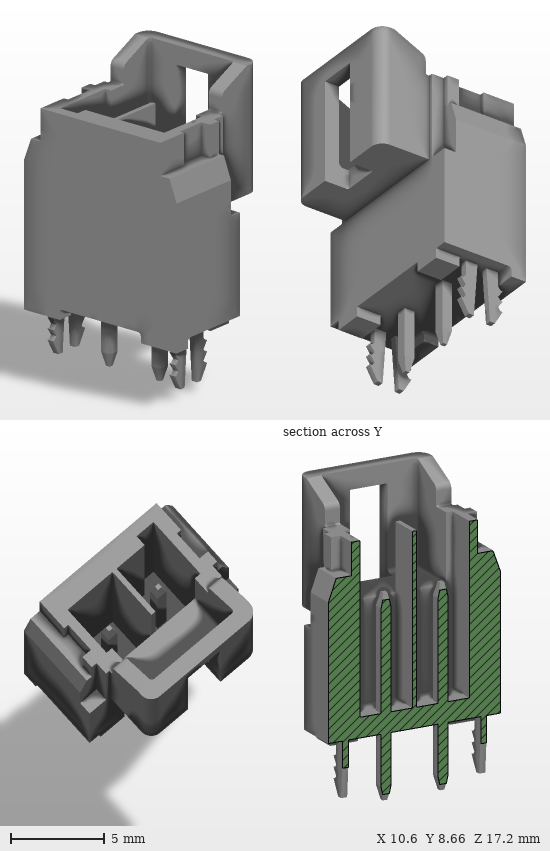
import cadquery as cq

OVERALL_WIDTH = 10.6
OVERALL_DEPTH = 8.66
OVERALL_HEIGHT = 17.15
PIN_REACH = 3.2
TOP_Z = OVERALL_HEIGHT - PIN_REACH

HALF_WIDTH = OVERALL_WIDTH / 2
BODY_DEPTH = 5.37
BASE_Z = 0.6
TOWER_Z = 11.82
SHOULDER_Z = 9.91
SHOULDER_HALF_WIDTH = 4.82
SLOPE_START_Z = 8.61

TOWER_FRONT_HALF = 4.17
TOWER_WAIST_HALF = 3.88
TOWER_RIB_HALF = 4.48
WAIST_START_Y = 1.99
WAIST_END_Y = 3.85
NOTCH_FRONT_Y = 4.6
NOTCH_HALF = 4.13

GUARD_BOTTOM_Z = 6.53
GUARD_HALF = TOWER_WAIST_HALF
GUARD_CORNER_RADIUS = 0.72
GUARD_BACK_WALL = 0.93
GUARD_INNER_HALF = 2.95
GUARD_INNER_RADIUS = 0.19
GUARD_FLOOR_Z = 7.75
GUARD_FRONT_Y = 5.59
CHEEK_SLOPE_START_Y = 7.67
CHEEK_CORNER_Z = 12.97
CHEEK_CORNER_RADIUS = 0.43
CHEEK_ROOT_RADIUS = 0.1
FLOOR_SIDE_RADIUS = 0.19
FLOOR_BACK_RADIUS = 0.3
WINDOW_HALF = 1.15
WINDOW_TOP_Z = 12.81
WINDOW_FRONT_Y = 7.13
WINDOW_CORNER_RADIUS = 0.1

POCKET_HALF_SPAN = 3.35
POCKET_FRONT_Y = 1.34
POCKET_BACK_Y = 4.51
POCKET_FLOOR_Z = 1.8
DIVIDER_HALF = 0.145
KEY_SLOT_FRONT_Y = 0.69
KEY_SLOT_WIDTH = 1.2

FOOT_INNER_X = 2.81
FRONT_FOOT_DEPTH = 0.96
REAR_FOOT_FRONT_Y = 3.82
REAR_FOOT_OUTER_X = 4.53
FRONT_FOOT_ROOT_RADIUS = 0.2
REAR_FOOT_ROOT_RADIUS = 0.1

PIN_PITCH = 3.5
PIN_Y = 2.9
PIN_SIZE = 0.63
PIN_TIP_SIZE = 0.25
PIN_TIP_LENGTH = 0.82
PIN_TOP_Z = 8.58

CLIP_X = 4.24
CLIP_THICKNESS = 0.38
CLIP_Y = 2.28
PRONG_INNER_TOP = 0.3
PRONG_INNER_END = 0.53
PRONG_OUTER = 1.06
PRONG_OUTER_END = 0.85
BARB_REACH = 1.37
BARB_COUNT = 3
BARB_PITCH = 0.65
BARB_RISE = 0.2
BARB_FLAT_START = 1.22
FIRST_BARB_Z = -0.48
PRONG_END_Z = -2.68


def box(x0, x1, y0, y1, z0, z1):
    """Axis-aligned block between two opposite corners."""
    return cq.Workplane("XY").box(x1 - x0, y1 - y0, z1 - z0, centered=False).translate((x0, y0, z0))


def both_sides(shape):
    """The shape together with its mirror image across x = 0."""
    return shape.union(shape.mirror("YZ"))


def extrude_front_outline(points, depth):
    """Closed XZ outline extruded from the front face backwards."""
    return cq.Workplane("XZ").polyline(points).close().extrude(-depth)


def housing():
    right_edge = [
        (HALF_WIDTH, BASE_Z),
        (HALF_WIDTH, SLOPE_START_Z),
        (SHOULDER_HALF_WIDTH, SHOULDER_Z),
    ]
    left_edge = [(-x, z) for x, z in reversed(right_edge)]
    body = extrude_front_outline(right_edge + left_edge, BODY_DEPTH)
    tower_bands = [
        (TOWER_FRONT_HALF, 0, WAIST_START_Y),
        (TOWER_WAIST_HALF, WAIST_START_Y, WAIST_END_Y),
        (TOWER_RIB_HALF, WAIST_END_Y, NOTCH_FRONT_Y),
        (NOTCH_HALF, NOTCH_FRONT_Y, BODY_DEPTH),
    ]
    for half, y0, y1 in tower_bands:
        body = body.union(box(-half, half, y0, y1, BASE_Z, TOWER_Z))
    corner_notch = box(NOTCH_HALF, HALF_WIDTH, NOTCH_FRONT_Y, BODY_DEPTH, GUARD_BOTTOM_Z, TOWER_Z)
    return body.cut(both_sides(corner_notch))


def feet():
    front = box(FOOT_INNER_X, HALF_WIDTH, 0, FRONT_FOOT_DEPTH, 0, BASE_Z)
    rear = box(FOOT_INNER_X, REAR_FOOT_OUTER_X, REAR_FOOT_FRONT_Y, BODY_DEPTH, 0, BASE_Z)
    return both_sides(front.union(rear))


def root_fillet(plane, corner_u, radius, direction, length):
    """Concave round under the base, beside a foot wall at corner_u and growing along direction."""
    return (
        cq.Workplane(plane)
        .moveTo(corner_u, BASE_Z)
        .lineTo(corner_u + direction * radius, BASE_Z)
        .radiusArc((corner_u, BASE_Z - radius), -direction * radius)
        .close()
        .extrude(length)
    )


def foot_root_fillets():
    """Concave rounds where the feet meet the underside."""
    front_inner = root_fillet("XZ", FOOT_INNER_X, FRONT_FOOT_ROOT_RADIUS, -1, -FRONT_FOOT_DEPTH)
    front_length = HALF_WIDTH - FOOT_INNER_X
    front_rear = root_fillet("YZ", FRONT_FOOT_DEPTH, FRONT_FOOT_ROOT_RADIUS, 1, front_length)
    rear_length = REAR_FOOT_OUTER_X - FOOT_INNER_X
    rear_front = root_fillet("YZ", REAR_FOOT_FRONT_Y, REAR_FOOT_ROOT_RADIUS, -1, rear_length)
    lengthwise = front_rear.union(rear_front).translate((FOOT_INNER_X, 0, 0))
    return both_sides(front_inner.union(lengthwise))


def guard():
    """Cheeks, floor and back wall behind the tower, before the bay is hollowed out."""
    block = box(-GUARD_HALF, GUARD_HALF, NOTCH_FRONT_Y, OVERALL_DEPTH, GUARD_BOTTOM_Z, TOP_Z)
    block = block.edges("|Z and >Y").fillet(GUARD_CORNER_RADIUS)
    side_profile = (
        cq.Workplane("YZ")
        .polyline([
            (NOTCH_FRONT_Y, GUARD_BOTTOM_Z),
            (NOTCH_FRONT_Y, TOWER_Z),
            (GUARD_FRONT_Y, TOWER_Z),
            (GUARD_FRONT_Y, CHEEK_CORNER_Z),
            (CHEEK_SLOPE_START_Y, TOP_Z),
            (OVERALL_DEPTH, TOP_Z),
            (OVERALL_DEPTH, GUARD_BOTTOM_Z),
        ])
        .close()
        .extrude(GUARD_HALF, both=True)
    )
    reach = CHEEK_ROOT_RADIUS
    root_zone = cq.selectors.BoxSelector(
        (-reach, GUARD_FRONT_Y - reach, TOWER_Z - reach),
        (reach, GUARD_FRONT_Y + reach, TOWER_Z + reach),
    )
    corner_zone = cq.selectors.BoxSelector(
        (-reach, GUARD_FRONT_Y - reach, CHEEK_CORNER_Z - reach),
        (reach, GUARD_FRONT_Y + reach, CHEEK_CORNER_Z + reach),
    )
    side_profile = side_profile.edges(corner_zone).fillet(CHEEK_CORNER_RADIUS)
    side_profile = side_profile.edges(root_zone).fillet(CHEEK_ROOT_RADIUS)
    return block.intersect(side_profile)


def guard_bay():
    """Open space inside the guard, joined to the pockets at its front."""
    bay_back = OVERALL_DEPTH - GUARD_BACK_WALL
    bay = box(-GUARD_INNER_HALF, GUARD_INNER_HALF, POCKET_BACK_Y, bay_back, GUARD_FLOOR_Z, TOP_Z)
    rounded_corners = bay.edges("|Z and >Y").fillet(GUARD_INNER_RADIUS)
    rounded_sides = bay.faces("<Z").edges("|Y").fillet(FLOOR_SIDE_RADIUS)
    rounded_back = bay.faces("<Z").edges(">Y").fillet(FLOOR_BACK_RADIUS)
    return rounded_corners.intersect(rounded_sides).intersect(rounded_back)


def guard_window():
    window = box(-WINDOW_HALF, WINDOW_HALF, WINDOW_FRONT_Y, OVERALL_DEPTH, GUARD_BOTTOM_Z, WINDOW_TOP_Z)
    return window.edges("|Z and <Y").fillet(WINDOW_CORNER_RADIUS)


def pockets():
    pocket = box(DIVIDER_HALF, POCKET_HALF_SPAN, POCKET_FRONT_Y, POCKET_BACK_Y, POCKET_FLOOR_Z, TOWER_Z)
    key_end = KEY_SLOT_WIDTH - POCKET_HALF_SPAN
    key_slot = box(-POCKET_HALF_SPAN, key_end, KEY_SLOT_FRONT_Y, POCKET_FRONT_Y, POCKET_FLOOR_Z, TOWER_Z)
    return both_sides(pocket).union(key_slot)


def pin_tip(base_z, direction):
    """Tapered pin end; direction is +1 for the upper end and -1 for the lower."""
    return (
        cq.Workplane("XY", origin=(0, PIN_Y, base_z))
        .rect(PIN_SIZE, PIN_SIZE)
        .workplane(offset=direction * PIN_TIP_LENGTH)
        .rect(PIN_TIP_SIZE, PIN_TIP_SIZE)
        .loft()
    )


def pins():
    shank_bottom = PIN_TIP_LENGTH - PIN_REACH
    shank_top = PIN_TOP_Z - PIN_TIP_LENGTH
    half = PIN_SIZE / 2
    pin = box(-half, half, PIN_Y - half, PIN_Y + half, shank_bottom, shank_top)
    pin = pin.union(pin_tip(shank_bottom, -1)).union(pin_tip(shank_top, 1))
    return both_sides(pin.translate((PIN_PITCH / 2, 0, 0)))


def clips():
    outline = [(PRONG_INNER_TOP, BASE_Z), (PRONG_OUTER, BASE_Z)]
    for barb in range(BARB_COUNT):
        barb_z = FIRST_BARB_Z - barb * BARB_PITCH
        outline.append((PRONG_OUTER, barb_z + BARB_RISE))
        outline.append((BARB_FLAT_START, barb_z))
        outline.append((BARB_REACH, barb_z))
    outline.append((PRONG_OUTER_END, PRONG_END_Z))
    outline.append((PRONG_INNER_END, PRONG_END_Z))
    prong = cq.Workplane("YZ").polyline(outline).close().extrude(CLIP_THICKNESS / 2, both=True)
    pair = prong.union(prong.mirror("XZ"))
    return both_sides(pair.translate((CLIP_X, CLIP_Y, 0)))


result = (
    housing()
    .union(feet())
    .union(foot_root_fillets())
    .union(guard())
    .cut(guard_bay())
    .cut(guard_window())
    .cut(pockets())
    .union(pins())
    .union(clips())
)